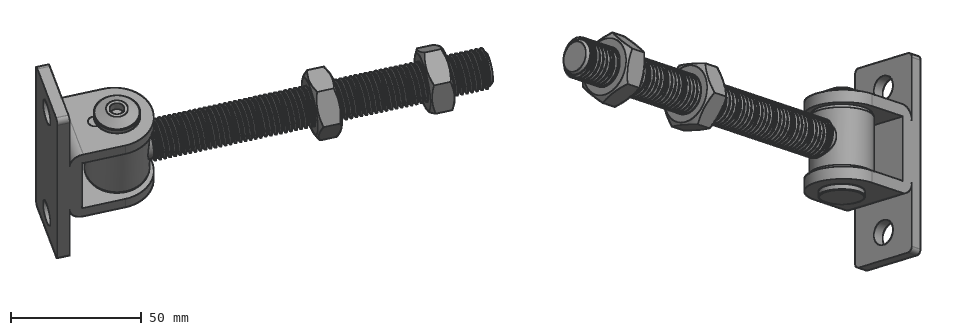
import cadquery as cq
import math


plate_width = 30.0
plate_height = 80.5
stock_thickness = 5.0
plate_corner_radius = 2.1
screw_hole_diameter = 10.0
screw_hole_spacing = 58.1
clevis_gap = 26.0
clevis_reach = 42.0
clevis_bend_radius = 5.3

clevis_height = clevis_gap + 2 * stock_thickness
clevis_end_radius = plate_width / 2
clevis_back = 2 * stock_thickness

pin_axis_y = 28.0
pin_shank_radius = 7.0
pin_head_radius = 9.0
pin_rim_height = 2.5
pin_dome_height = 2.1
pin_crown_radius = 4.2
pin_socket_radius = 2.8
pin_socket_depth = 3.5
pin_tail_height = 2.6
pin_edge_chamfer = 0.4
key_radius = 2.5
key_offset = pin_head_radius

pin_head_seat = clevis_height / 2

overall_length = 175.6
barrel_radius = 12.5
barrel_chamfer_width = 0.7
barrel_chamfer_height = 1.4
thread_diameter = 16.0
thread_pitch = thread_diameter / 8
thread_depth = 0.6 * thread_pitch
crest_share = 1 / 8
foot_share = 3 / 4
flank_spline_steps = 8
thread_start_angle = -113.0
stretches = 13
turns_per_stretch = 5
joint_tolerance = 0.02
neck_clearance = 0.2
neck_radius = 7.0
rod_tip_radius = 6.0

thread_start = pin_axis_y + barrel_radius + neck_clearance
thread_radius = thread_diameter / 2
root_radius = thread_radius - thread_depth

nut_across_flats = 24.0
nut_thickness = 9.7
nut_chamfer_angle = 30.0
nut_face_radius = 11.2
nut_places = [(104.5, 9.5), (149.3, 40.5)]

nut_corner_radius = nut_across_flats / 2 / math.cos(math.radians(30))


def disc_z(radius, bottom, height):
    """Cylinder around the pin axis."""
    return cq.Workplane("XY").workplane(offset=bottom).center(0, pin_axis_y).circle(radius).extrude(height)


def rod_turning(profile):
    """Solid of revolution around the rod axis from (radius, Y) points."""
    return cq.Workplane("XY").polyline(profile).close().revolve(360, (0, 0), (0, 1))


def pin_turning(profile):
    """Solid of revolution around the pin axis from (radius, Z) points."""
    turned = cq.Workplane("XZ").polyline(profile).close().revolve(360, (0, 0), (0, 1))
    return turned.translate((0, pin_axis_y, 0))


def make_key():
    """Anti-rotation key under the pin head, as deep as the upper clevis arm."""
    key_nose = (
        cq.Workplane("XY").workplane(offset=clevis_gap / 2)
        .center(0, pin_axis_y - key_offset).circle(key_radius).extrude(stock_thickness)
    )
    web = (
        cq.Workplane("XY").workplane(offset=clevis_gap / 2)
        .center(0, pin_axis_y - key_offset / 2).rect(2 * key_radius, key_offset).extrude(stock_thickness)
    )
    return key_nose.union(web)


def make_pin():
    """Shank with a domed, socketed head, a flat collar at its lower end and the key."""
    rim_top = pin_head_seat + pin_rim_height
    crown = rim_top + pin_dome_height
    tail = -pin_head_seat - pin_tail_height
    body = pin_turning([
        (0, tail),
        (pin_head_radius - pin_edge_chamfer, tail),
        (pin_head_radius, tail + pin_edge_chamfer),
        (pin_head_radius, -pin_head_seat - pin_edge_chamfer),
        (pin_head_radius - pin_edge_chamfer, -pin_head_seat),
        (pin_shank_radius, -pin_head_seat),
        (pin_shank_radius, pin_head_seat),
        (pin_head_radius - pin_edge_chamfer, pin_head_seat),
        (pin_head_radius, pin_head_seat + pin_edge_chamfer),
        (pin_head_radius, rim_top - pin_edge_chamfer),
        (pin_head_radius - pin_edge_chamfer, rim_top),
        (pin_crown_radius, crown),
        (pin_socket_radius, crown),
        (pin_socket_radius, crown - pin_socket_depth),
        (0, crown - pin_socket_depth),
    ])
    return body.union(make_key())


def make_bracket():
    """Plate with two screw holes, and the clevis with the holes for the pin and its key."""
    plate = (
        cq.Workplane("XY").box(plate_width, stock_thickness, plate_height, centered=(True, False, True))
        .edges("|Y").fillet(plate_corner_radius)
    )
    screw_holes = (
        cq.Workplane("XZ").pushPoints([(0, screw_hole_spacing / 2), (0, -screw_hole_spacing / 2)])
        .circle(screw_hole_diameter / 2).extrude(-stock_thickness)
    )
    arm_outline = (
        cq.Workplane("XY").workplane(offset=-clevis_height / 2)
        .moveTo(-plate_width / 2, stock_thickness)
        .lineTo(plate_width / 2, stock_thickness)
        .lineTo(plate_width / 2, clevis_reach - clevis_end_radius)
        .threePointArc((0, clevis_reach), (-plate_width / 2, clevis_reach - clevis_end_radius))
        .close().extrude(clevis_height)
    )
    clevis = arm_outline.faces("<Y").edges("|X").fillet(clevis_bend_radius)
    gap = (
        cq.Workplane("XY").box(plate_width, clevis_reach, clevis_gap, centered=(True, False, True))
        .translate((0, clevis_back, 0))
    )
    pin_hole = disc_z(pin_shank_radius, -clevis_height / 2, clevis_height)
    return plate.cut(screw_holes).union(clevis.cut(gap)).cut(pin_hole).cut(make_key())


def thread_point(radius, turn_fraction):
    """Point of the rod's cross-section, counted in turns from the middle of the crest."""
    angle = math.radians(thread_start_angle) + 2 * math.pi * turn_fraction
    return radius * math.cos(angle), radius * math.sin(angle)


def flank_points(from_radius, from_turn, to_radius, to_turn):
    """Points of a straight thread flank as it shows in the cross-section, after the first one."""
    steps = [index / flank_spline_steps for index in range(1, flank_spline_steps + 1)]
    return [
        thread_point(from_radius + (to_radius - from_radius) * step, from_turn + (to_turn - from_turn) * step)
        for step in steps
    ]


def make_threaded_length(start, turns):
    """Right-handed threaded rod from start along +Y: the rod's cross-section twisted through the turns."""
    crest = crest_share / 2
    foot = foot_share / 2
    section = (
        cq.Workplane("XY").moveTo(*thread_point(root_radius, -foot))
        .spline(flank_points(root_radius, -foot, thread_radius, -crest), includeCurrent=True)
        .threePointArc(thread_point(thread_radius, 0), thread_point(thread_radius, crest))
        .spline(flank_points(thread_radius, crest, root_radius, foot), includeCurrent=True)
        .threePointArc(thread_point(root_radius, 0.5), thread_point(root_radius, -foot))
        .close()
    )
    twisted = section.twistExtrude(turns * thread_pitch, turns * 360)
    return twisted.rotate((0, 0, 0), (1, 0, 0), -90).translate((0, start, 0))


def make_barrel():
    """Solid barrel between the clevis arms, chamfered at both ends."""
    top = clevis_gap / 2
    return pin_turning([
        (0, -top),
        (barrel_radius - barrel_chamfer_width, -top),
        (barrel_radius, barrel_chamfer_height - top),
        (barrel_radius, top - barrel_chamfer_height),
        (barrel_radius - barrel_chamfer_width, top),
        (0, top),
    ])


def make_eye(first_joint):
    """Barrel with its pin hole, the plain neck, and the first turn of thread."""
    neck = rod_turning([
        (0, pin_axis_y),
        (neck_radius, pin_axis_y),
        (neck_radius, thread_start),
        (0, thread_start),
    ])
    first_turn = make_threaded_length(thread_start, (first_joint - thread_start) / thread_pitch)
    pin_hole = disc_z(pin_shank_radius, -clevis_gap / 2, clevis_gap)
    return make_barrel().union(neck).cut(pin_hole).union(first_turn, clean=False)


def make_rod_tip(last_joint):
    """Last turn of thread and the plain tapered end of the rod."""
    thread_end = last_joint + thread_pitch
    taper = rod_turning([
        (0, thread_end),
        (neck_radius, thread_end),
        (rod_tip_radius, overall_length),
        (0, overall_length),
    ])
    return make_threaded_length(last_joint, 1).union(taper, clean=False)


def make_eye_bolt():
    """Eye, long thread and tip sewn into one solid across the flat sections where they join."""
    first_joint = thread_start + thread_pitch
    joints = [first_joint + index * turns_per_stretch * thread_pitch for index in range(stretches + 1)]
    parts = [make_eye(first_joint), make_rod_tip(joints[-1])]
    stretch = make_threaded_length(first_joint, turns_per_stretch)
    for joint in joints[:-1]:
        parts.append(stretch.translate((0, joint - first_joint, 0)))

    def is_joint(face):
        at_joint = any(abs(face.Center().y - joint) < joint_tolerance for joint in joints)
        return at_joint and face.geomType() == "PLANE"

    skin = [face for part in parts for face in part.faces().vals() if not is_joint(face)]
    return cq.Workplane(obj=cq.Solid.makeSolid(cq.Shell.makeShell(skin)))


def make_nut(near_face, turn):
    """Hexagon nut around the rod, chamfered on both faces, with a bore at the thread's outer diameter."""
    far_face = near_face + nut_thickness
    chamfer_depth = (nut_corner_radius - nut_face_radius) * math.tan(math.radians(nut_chamfer_angle))
    hexagon = (
        cq.Workplane("XZ").polygon(6, 2 * nut_corner_radius).circle(thread_radius).extrude(-nut_thickness)
        .rotate((0, 0, 0), (0, 1, 0), -turn).translate((0, near_face, 0))
    )
    chamfer_envelope = rod_turning([
        (0, near_face),
        (nut_face_radius, near_face),
        (nut_corner_radius, near_face + chamfer_depth),
        (nut_corner_radius, far_face - chamfer_depth),
        (nut_face_radius, far_face),
        (0, far_face),
    ])
    return hexagon.intersect(chamfer_envelope)


bracket = make_bracket()
pin = make_pin()
eye_bolt = make_eye_bolt()
nuts = [make_nut(near_face, turn) for near_face, turn in nut_places]

result = cq.Compound.makeCompound([
    bracket.solids().val(),
    pin.solids().val(),
    eye_bolt.val(),
    *[nut.val() for nut in nuts],
])